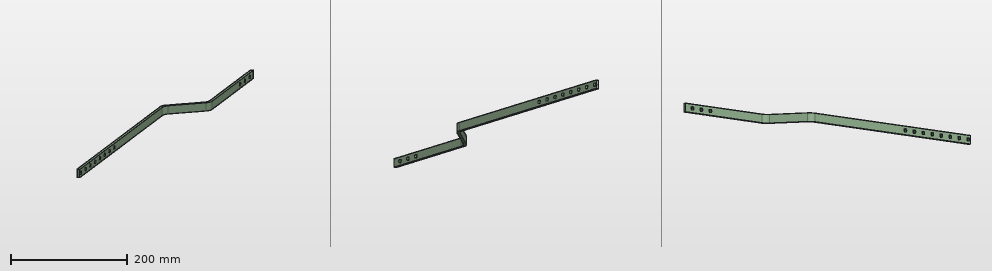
import cadquery as cq
import math

length = 580.0
width = 70.0
height = 15.0
thickness = 5.0
bend_radius = 15.0

lower_corner_y = 353.0
upper_corner_y = 403.0

hole_diameter = 6.0
front_hole_count = 8
front_row_length = 140.0
hole_pitch = front_row_length / (front_hole_count - 1)
front_hole_margin = 5.0
rear_hole_count = 3
rear_hole_margin = 15.0

offset_x = width - thickness
slope_angle = math.atan2(upper_corner_y - lower_corner_y, offset_x)
corner_shift = thickness * (1 - math.sin(slope_angle)) / math.cos(slope_angle)


def make_bar():
    outline = [
        (0, 0),
        (thickness, 0),
        (thickness, lower_corner_y - corner_shift),
        (width, upper_corner_y - corner_shift),
        (width, length),
        (offset_x, length),
        (offset_x, upper_corner_y),
        (0, lower_corner_y),
    ]
    bar = cq.Workplane("XY").polyline(outline).close().extrude(height)
    return bar.edges("|Z and (not <Y) and (not >Y)").fillet(bend_radius)


def drill_row(bar, first_y, step, count):
    centers = [(first_y + i * step, height / 2) for i in range(count)]
    holes = cq.Workplane("YZ").pushPoints(centers).circle(hole_diameter / 2).extrude(width)
    return bar.cut(holes)


result = make_bar()
result = drill_row(result, front_hole_margin, hole_pitch, front_hole_count)
result = drill_row(result, length - rear_hole_margin, -hole_pitch, rear_hole_count)